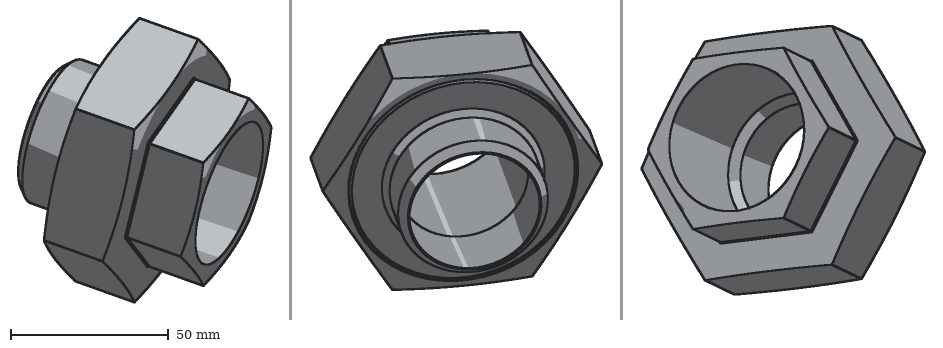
import cadquery as cq
import math

total_length = 64.0

pipe_radius = 48.3 / 2
bore_radius = 42.0 / 2
weld_tip_radius = 21.5
weld_bevel_length = 2.8
flare_start = 17.2

nut_start = 19.3
nut_end = 43.3
nut_flats = 78.0
nut_corner_diameter = 90.0
nut_opening_radius = 37.0
collar_radius = 36.6
collar_chamfer = 0.7

tail_flats = 55.6
tail_corner_diameter = 64.1
tail_bore_radius = 47.8 / 2
tail_bore_start = 19.8
tail_root_length = 0.6
tail_root_height = 0.3

hex_sides = 6
hex_chamfer_angle = 15.0


def revolve_profile(points):
    """Revolve (x, radius) points about the X axis."""
    return cq.Workplane("XZ").polyline(points).close().revolve(360, (0, 0, 0), (1, 0, 0))


def corners_of_hexagon(flats):
    """Size across the sharp corners for a given size across the flats."""
    return flats / math.cos(math.pi / hex_sides)


def hex_prism(start, end, flats, corner_diameter, chamfer_start):
    """Hexagon with flats at top and bottom, rounded corners, a chamfered end and an optional start chamfer."""
    across_corners = corners_of_hexagon(flats)
    prism = cq.Workplane("YZ").workplane(offset=start).polygon(hex_sides, across_corners).extrude(end - start)
    corner_radius = corner_diameter / 2
    face_radius = flats / 2
    chamfer_depth = (corner_radius - face_radius) * math.tan(math.radians(hex_chamfer_angle))
    if chamfer_start:
        start_points = [(start, face_radius), (start + chamfer_depth, corner_radius)]
    else:
        start_points = [(start, corner_radius)]
    end_points = [(end - chamfer_depth, corner_radius), (end, face_radius)]
    envelope = [(start, 0)] + start_points + end_points + [(end, 0)]
    return prism.intersect(revolve_profile(envelope))


def weld_end():
    """Bevelled pipe stub that flares at 45 degrees into the collar face."""
    flare_radius = pipe_radius + nut_start - flare_start
    return revolve_profile([
        (0, 0),
        (0, weld_tip_radius),
        (weld_bevel_length, pipe_radius),
        (flare_start, pipe_radius),
        (nut_start, flare_radius),
        (nut_start, 0),
    ])


def union_nut():
    """Hexagonal nut, with a shallow groove between its opening and the chamfered collar."""
    nut = hex_prism(nut_start, nut_end, nut_flats, nut_corner_diameter, chamfer_start=True)
    groove_end = nut_start + collar_chamfer
    groove = revolve_profile([
        (nut_start, collar_radius - collar_chamfer),
        (groove_end, collar_radius),
        (groove_end, nut_opening_radius),
        (nut_start, nut_opening_radius),
    ])
    return nut.cut(groove)


def tail_piece():
    """Hexagonal body of the tail piece, chamfered at its free end."""
    return hex_prism(nut_end, total_length, tail_flats, tail_corner_diameter, chamfer_start=False)


def tail_root():
    """Small hexagonal flare that joins the tail hexagon to the nut's end face."""
    root_flats = tail_flats + 2 * tail_root_height
    across_corners = corners_of_hexagon(root_flats)
    taper_angle = math.degrees(math.atan2(tail_root_height, tail_root_length))
    root_plane = cq.Workplane("YZ").workplane(offset=nut_end)
    flare = root_plane.polygon(hex_sides, across_corners).extrude(tail_root_length, taper=taper_angle)
    root_end = nut_end + tail_root_length
    corner_radius = tail_corner_diameter / 2
    corner_cone = revolve_profile([
        (nut_end, 0),
        (nut_end, corner_radius + tail_root_height),
        (root_end, corner_radius),
        (root_end, 0),
    ])
    return flare.intersect(corner_cone)


def bore():
    """Through bore that widens at 45 degrees into the tail piece bore."""
    widening_length = tail_bore_radius - bore_radius
    return revolve_profile([
        (0, 0),
        (0, bore_radius),
        (tail_bore_start, bore_radius),
        (tail_bore_start + widening_length, tail_bore_radius),
        (total_length, tail_bore_radius),
        (total_length, 0),
    ])


solid_body = union_nut().union(weld_end()).union(tail_piece()).union(tail_root())
result = solid_body.cut(bore())